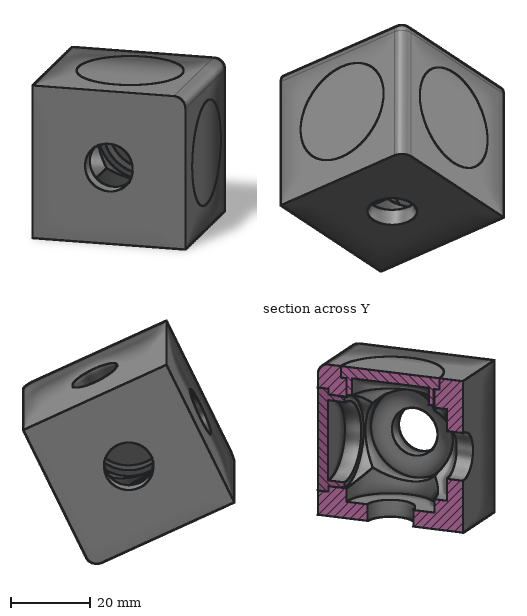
import cadquery as cq

SIDE = 40.0
CENTRE = SIDE / 2
CORNER_RADIUS = 3.0

HOLE_DIAMETER = 12.5
HOLE_DEPTH = 4.5
BORE_DIAMETER = 24.0

FLANGE_DIAMETER = 27.0
FLANGE_THICKNESS = 3.0
SLEEVE_INNER_DIAMETER = 21.0
SLEEVE_LENGTH = 4.5
FLANGE_START = SIDE - FLANGE_THICKNESS
SLEEVE_END = FLANGE_START - SLEEVE_LENGTH

BORE_PLANES = [
    cq.Plane(origin=(0, CENTRE, CENTRE), xDir=(0, 1, 0), normal=(1, 0, 0)),
    cq.Plane(origin=(CENTRE, 0, CENTRE), xDir=(0, 0, 1), normal=(0, 1, 0)),
    cq.Plane(origin=(CENTRE, CENTRE, 0), xDir=(1, 0, 0), normal=(0, 0, 1)),
]


def make_disc(plane, diameter, start, end):
    """Cylinder on the plane's axis between two distances from the plane."""
    return cq.Workplane(plane).workplane(offset=start).circle(diameter / 2).extrude(end - start)


def make_flange(plane):
    """Disc at the wide end of the bore, flush with the face."""
    return make_disc(plane, FLANGE_DIAMETER, FLANGE_START, SIDE)


def make_plug(plane):
    """Flange with a sleeve that fills the bore wall, open towards the centre of the cube."""
    sleeve = make_disc(plane, BORE_DIAMETER, SLEEVE_END, FLANGE_START)
    recess = make_disc(plane, SLEEVE_INNER_DIAMETER, SLEEVE_END, FLANGE_START)
    return make_flange(plane).union(sleeve.cut(recess))


def make_housing():
    """Cube with three crossing stepped bores and one rounded corner."""
    housing = cq.Workplane("XY").box(SIDE, SIDE, SIDE, centered=False)
    corner_edges = "(|X and >Y and >Z) or (|Y and >X and >Z) or (|Z and >X and >Y)"
    housing = housing.edges(corner_edges).fillet(CORNER_RADIUS)
    for plane in BORE_PLANES:
        housing = housing.cut(make_disc(plane, HOLE_DIAMETER, 0, SIDE))
        housing = housing.cut(make_disc(plane, BORE_DIAMETER, HOLE_DEPTH, SIDE))
        housing = housing.cut(make_flange(plane))
    return housing


housing = make_housing()
plugs = [make_plug(plane) for plane in BORE_PLANES]

result = cq.Compound.makeCompound([housing.val(), *[plug.val() for plug in plugs]])